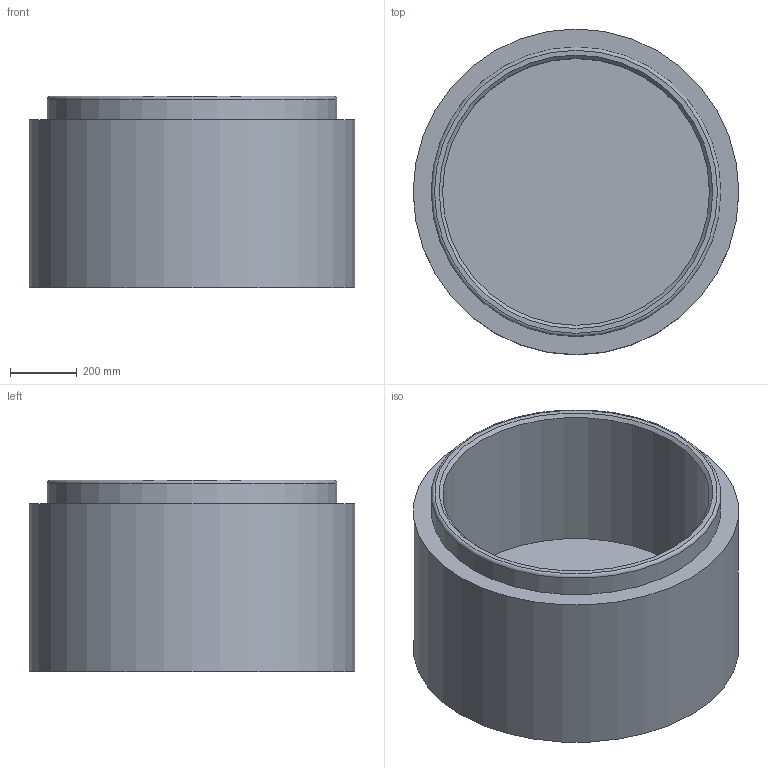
import cadquery as cq

outer_diameter = 976.0
total_height = 574.0
spigot_diameter = 868.0
spigot_height = 70.0
rim_fillet_radius = 10.0
bore_diameter = 800.0
mouth_chamfer = 10.0
floor_thickness = 120.0

shoulder_level = total_height - spigot_height


def make_body():
    """Solid cylinder with a narrower spigot on top, rounded at its outer rim."""
    barrel = cq.Workplane("XY").circle(outer_diameter / 2).extrude(shoulder_level)
    spigot = (
        cq.Workplane("XY")
        .workplane(offset=shoulder_level)
        .circle(spigot_diameter / 2)
        .extrude(spigot_height)
        .faces(">Z")
        .edges()
        .fillet(rim_fillet_radius)
    )
    return barrel.union(spigot)


def make_cavity():
    """Blind straight bore with a 45 degree chamfer widening its mouth."""
    bore_radius = bore_diameter / 2
    return (
        cq.Workplane("XZ")
        .moveTo(0, floor_thickness)
        .lineTo(bore_radius, floor_thickness)
        .lineTo(bore_radius, total_height - mouth_chamfer)
        .lineTo(bore_radius + mouth_chamfer, total_height)
        .lineTo(0, total_height)
        .close()
        .revolve(360, (0, 0, 0), (0, 1, 0))
    )


result = make_body().cut(make_cavity())